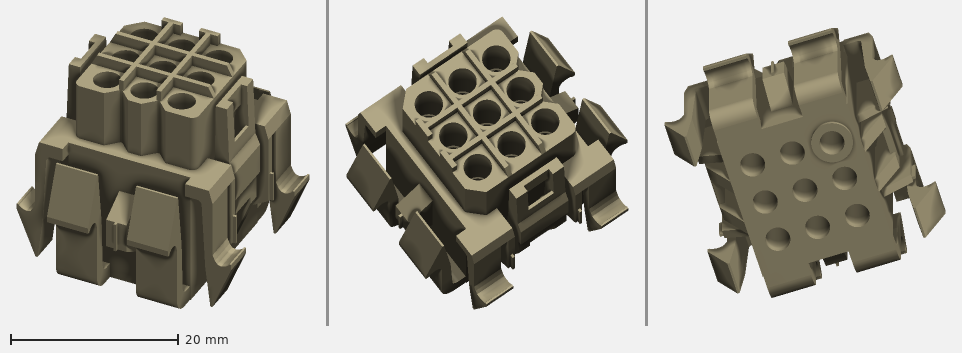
import cadquery as cq

BODY_HALF_X = 8.17
BODY_HALF_Y = 9.0
BODY_TOP = 17.88

BLOCK_BACK_Y = 7.85
BLOCK_FRONT_Y = -7.63
BLOCK_TOP = 25.5
BLOCK_CHAMFER = 1.82
BLOCK_FILLET = 0.95
NOTCH_DEPTH = 1.45
NOTCH_FLOOR_WIDTH = 0.3

CAVITY_PITCH = 4.98
CAVITY_POSITIONS = [-CAVITY_PITCH, 0, CAVITY_PITCH]
CAVITY_DIA = 2.98
CAVITY_MOUTH_DIA = 3.4
CAVITY_MOUTH_DEPTH = BLOCK_TOP - BODY_TOP
SLEEVE_DIA = 5.0
SLEEVE_HEIGHT = 0.55

RIB_WIDTH = 0.63
RIB_TOP = 26.97
RIB_END_SLOPE = 0.75
RIB_CAP_LENGTH = 2.53
RIB_CAP_WIDTH = 0.7
RIB_POSITIONS = [-CAVITY_PITCH / 2, CAVITY_PITCH / 2]

FLANGE_OUT = 11.83
FLANGE_TOP_OUT = 11.32
FLANGE_UNDERSIDE = 16.1
FLANGE_INNER_Y = 4.47
FLANGE_OUTER_Y = 10.5
SIDE_HOOK_WIDTH = 4.0
SIDE_HOOK_REACH = 14.3
SIDE_HOOK_CORNER = 0.6
SIDE_HOOK_INNER_TOP = 10.37
SIDE_HOOK_ELBOW = (10.85, 6.55)
SIDE_HOOK_TIP = 11.53
SIDE_HOOK_TIP_WIDTH = 0.27
SIDE_HOOK_TIP_Z = 1.05
SIDE_BARB_TOP = 8.0
SIDE_BARB_BOTTOM = 7.2
SIDE_BARB_LIP = 0.25
SIDE_ARM_OUTER_END = 8.65
SIDE_HOLLOW_BENDS = [(12.13, 7.93), (12.45, 7.48), (13.0, 7.33)]
SIDE_HOLLOW_MIDDLE = (13.47, 7.48)
SIDE_HOLLOW_END = (14.0, 7.85)
PANEL_THICKNESS = 0.98

FRONT_HOOK_OUT = 12.5
FRONT_HOOK_REACH = 14.9
FRONT_HOOK_INNER_X = 2.6
FRONT_HOOK_OUTER_X = 8.08
FRONT_HOOK_FOOT = 1.97
FRONT_HOOK_BEND = 1.97
FRONT_HOOK_FILLET = 1.0
FRONT_HOOK_INNER_FOOT = 10.97
FRONT_HOOK_ELBOW = (11.23, 9.35)
FRONT_HOOK_TIP = 12.2
FRONT_HOOK_TIP_WIDTH = 0.27
FRONT_HOOK_TIP_Z = 17.0
FRONT_BARB_TOP = 10.8
FRONT_BARB_BOTTOM = 10.0
FRONT_BARB_LIP = 0.35
FRONT_ARM_OUTER_END = 9.25
FRONT_HOLLOW_FLARE = (12.65, 9.83)
FRONT_HOLLOW_START = (12.87, 10.3)
FRONT_HOLLOW_MIDDLE = (13.68, 10.58)

STOP_OUT = 12.52
STOP_WIDTH = 2.7
STOP_TOP = 12.95
STOP_EDGE_TOP = 10.97
STOP_EDGE_BOTTOM = 7.1
STOP_ROOT_BOTTOM = 4.95
CRUSH_RIB_HEIGHT = 0.45
CRUSH_RIB_WIDTH = 0.33

LATCH_WIDTH = 7.03
LATCH_TOP = 25.05
LATCH_STEP = 11.8
LATCH_OUT = 11.75
LATCH_STEP_DEPTH = 0.45
LATCH_SHOULDER_BOTTOM = 15.8
LATCH_SHOULDER_TOP = (11.12, 17.28)
LATCH_TOP_OUT = 10.82
LATCH_TOP_BACK = 9.33
LATCH_BACK_BENDS = [(9.2, BODY_TOP), (8.88, 13.1), (8.58, 12.22)]
LATCH_RAMP_TOP = 8.05
LATCH_RAMP_BOTTOM = 0.42
RIGHT_LATCH_INSET = 0.55
WINDOW_WIDTH = 3.72
WINDOW_SILL = 19.28
WINDOW_BAR_BOTTOM = 22.2
WINDOW_BAR_FACE = 10.0
WINDOW_WALL_BACK = 10.65
LATCH_NOTCH_TOP = 9.03

EMBED = 0.3



def box(x_range, y_range, z_range):
    """Block spanning the given coordinate ranges."""
    ranges = (x_range, y_range, z_range)
    corner = tuple(start for start, end in ranges)
    size = [end - start for start, end in ranges]
    return cq.Workplane("XY", origin=corner).box(*size, centered=False)


def prism(outline, y_start, y_end):
    """Closed XZ outline extruded between two Y positions."""
    return outline.extrude(y_start - y_end).translate((0, y_start, 0))


def centered_prism(outline, width):
    """Closed XZ outline extruded evenly to both sides of Y = 0."""
    return prism(outline, -width / 2, width / 2)


def turned(part, angle):
    """Turn a part about the vertical axis; parts are drawn pointing along +X."""
    return part.rotate((0, 0, 0), (0, 0, 1), angle)


def contact_block():
    """Block with chamfered back corners, rounded front corners and V grooves."""
    block = box(
        (-BODY_HALF_X, BODY_HALF_X),
        (BLOCK_FRONT_Y, BLOCK_BACK_Y),
        (BODY_TOP - EMBED, BLOCK_TOP),
    )
    block = block.edges("|Z and >Y").chamfer(BLOCK_CHAMFER)
    block = block.edges("|Z and <Y").fillet(BLOCK_FILLET)
    half_floor = NOTCH_FLOOR_WIDTH / 2
    half_mouth = half_floor + NOTCH_DEPTH
    for x in RIB_POSITIONS:
        groove = (
            cq.Workplane("XY", origin=(x, BLOCK_FRONT_Y, BODY_TOP))
            .polyline([
                (-half_mouth, 0),
                (half_mouth, 0),
                (half_floor, NOTCH_DEPTH),
                (-half_floor, NOTCH_DEPTH),
            ])
            .close()
            .extrude(BLOCK_TOP - BODY_TOP)
        )
        block = block.cut(groove)
    return block


def add_ribs(part):
    """Crossing ribs on the block, with T caps along the back edge."""
    rib_z = (BLOCK_TOP - EMBED, RIB_TOP)
    for position in RIB_POSITIONS:
        sides = (position - RIB_WIDTH / 2, position + RIB_WIDTH / 2)
        part = part.union(box(sides, (BLOCK_FRONT_Y + NOTCH_DEPTH, BLOCK_BACK_Y), rib_z))
        part = part.union(box(
            (position - RIB_CAP_LENGTH / 2, position + RIB_CAP_LENGTH / 2),
            (BLOCK_BACK_Y - RIB_CAP_WIDTH, BLOCK_BACK_Y),
            rib_z,
        ))
        top_half_length = BODY_HALF_X - RIB_END_SLOPE
        outline = (
            cq.Workplane("XZ")
            .moveTo(-BODY_HALF_X, BLOCK_TOP)
            .lineTo(BODY_HALF_X, BLOCK_TOP)
            .lineTo(top_half_length, RIB_TOP)
            .lineTo(-top_half_length, RIB_TOP)
            .close()
        )
        part = part.union(prism(outline, *sides))
    return part


def add_cavities(part):
    """Sleeve below one cavity, then all nine stepped cavities."""
    sleeve = (
        cq.Workplane("XY", origin=(CAVITY_PITCH, -CAVITY_PITCH, -SLEEVE_HEIGHT))
        .circle(SLEEVE_DIA / 2)
        .extrude(SLEEVE_HEIGHT + EMBED)
    )
    centers = [(x, y) for x in CAVITY_POSITIONS for y in CAVITY_POSITIONS]
    return (
        part.union(sleeve)
        .copyWorkplane(cq.Workplane("XY", origin=(0, 0, BLOCK_TOP)))
        .pushPoints(centers)
        .cboreHole(CAVITY_DIA, CAVITY_MOUTH_DIA, CAVITY_MOUTH_DEPTH)
    )


def crush_rib(face, center_y):
    """Thin upright rib on the outer face of a stop."""
    return box(
        (face - EMBED, face + CRUSH_RIB_HEIGHT),
        (center_y - CRUSH_RIB_WIDTH / 2, center_y + CRUSH_RIB_WIDTH / 2),
        (STOP_EDGE_BOTTOM, STOP_EDGE_TOP),
    )


def front_stop():
    """Wedge in the middle of the front or back wall."""
    outline = (
        cq.Workplane("XZ")
        .moveTo(BODY_HALF_Y, STOP_ROOT_BOTTOM)
        .lineTo(STOP_OUT, STOP_EDGE_BOTTOM)
        .lineTo(STOP_OUT, STOP_EDGE_TOP)
        .lineTo(BODY_HALF_Y, STOP_TOP)
        .close()
    )
    return centered_prism(outline, STOP_WIDTH).union(crush_rib(STOP_OUT, 0))


def front_hook():
    """Upright snap arm with an arrow-shaped tip, bent up from the body foot."""
    outline = (
        cq.Workplane("XZ")
        .moveTo(BODY_HALF_Y - EMBED, 0)
        .lineTo(FRONT_HOOK_OUT - FRONT_HOOK_BEND, 0)
        .radiusArc((FRONT_HOOK_OUT, FRONT_HOOK_BEND), -FRONT_HOOK_BEND)
        .lineTo(FRONT_HOOK_OUT, FRONT_ARM_OUTER_END)
        .threePointArc(FRONT_HOLLOW_FLARE, FRONT_HOLLOW_START)
        .threePointArc(
            FRONT_HOLLOW_MIDDLE,
            (FRONT_HOOK_REACH - FRONT_BARB_LIP, FRONT_BARB_BOTTOM),
        )
        .lineTo(FRONT_HOOK_REACH, FRONT_BARB_BOTTOM)
        .lineTo(FRONT_HOOK_REACH, FRONT_BARB_TOP)
        .lineTo(FRONT_HOOK_TIP + FRONT_HOOK_TIP_WIDTH, FRONT_HOOK_TIP_Z)
        .lineTo(FRONT_HOOK_TIP, FRONT_HOOK_TIP_Z)
        .lineTo(*FRONT_HOOK_ELBOW)
        .lineTo(FRONT_HOOK_INNER_FOOT, FRONT_HOOK_FOOT + FRONT_HOOK_FILLET)
        .radiusArc(
            (FRONT_HOOK_INNER_FOOT - FRONT_HOOK_FILLET, FRONT_HOOK_FOOT),
            FRONT_HOOK_FILLET,
        )
        .lineTo(BODY_HALF_Y - EMBED, FRONT_HOOK_FOOT)
        .close()
    )
    return prism(outline, FRONT_HOOK_INNER_X, FRONT_HOOK_OUTER_X)


def side_hook():
    """Snap arm hanging from a side flange, ending in an arrow-shaped tip."""
    outline = (
        cq.Workplane("XZ")
        .moveTo(BODY_HALF_X, BODY_TOP)
        .lineTo(FLANGE_TOP_OUT, BODY_TOP)
        .lineTo(FLANGE_OUT, FLANGE_UNDERSIDE)
        .lineTo(FLANGE_OUT, SIDE_ARM_OUTER_END)
        .polyline(SIDE_HOLLOW_BENDS, includeCurrent=True)
        .threePointArc(SIDE_HOLLOW_MIDDLE, SIDE_HOLLOW_END)
        .lineTo(SIDE_HOOK_REACH - SIDE_BARB_LIP, SIDE_BARB_TOP)
        .lineTo(SIDE_HOOK_REACH, SIDE_BARB_TOP)
        .lineTo(SIDE_HOOK_REACH, SIDE_BARB_BOTTOM)
        .lineTo(SIDE_HOOK_TIP + SIDE_HOOK_TIP_WIDTH, SIDE_HOOK_TIP_Z)
        .lineTo(SIDE_HOOK_TIP, SIDE_HOOK_TIP_Z)
        .lineTo(*SIDE_HOOK_ELBOW)
        .lineTo(SIDE_HOOK_INNER_TOP, FLANGE_UNDERSIDE - SIDE_HOOK_CORNER)
        .radiusArc(
            (SIDE_HOOK_INNER_TOP - SIDE_HOOK_CORNER, FLANGE_UNDERSIDE),
            -SIDE_HOOK_CORNER,
        )
        .lineTo(BODY_HALF_X, FLANGE_UNDERSIDE)
        .close()
    )
    return prism(outline, FLANGE_OUTER_Y - SIDE_HOOK_WIDTH, FLANGE_OUTER_Y)


def side_flange():
    """Flange shelf and the guide panel along its inner edge."""
    shelf = (
        cq.Workplane("XZ")
        .moveTo(BODY_HALF_X - EMBED, FLANGE_UNDERSIDE)
        .lineTo(FLANGE_OUT, FLANGE_UNDERSIDE)
        .lineTo(FLANGE_TOP_OUT, BODY_TOP)
        .lineTo(BODY_HALF_X - EMBED, BODY_TOP)
        .close()
    )
    panel = (
        cq.Workplane("XZ")
        .moveTo(BODY_HALF_X, STOP_ROOT_BOTTOM)
        .lineTo(FLANGE_OUT, STOP_EDGE_BOTTOM)
        .lineTo(FLANGE_OUT, FLANGE_UNDERSIDE)
        .lineTo(BODY_HALF_X, FLANGE_UNDERSIDE)
        .close()
    )
    panel_outer_y = FLANGE_INNER_Y + PANEL_THICKNESS
    panel_middle_y = FLANGE_INNER_Y + PANEL_THICKNESS / 2
    return (
        prism(shelf, FLANGE_INNER_Y, BODY_HALF_Y)
        .union(prism(panel, FLANGE_INNER_Y, panel_outer_y))
        .union(crush_rib(FLANGE_OUT, panel_middle_y))
        .union(side_hook())
    )


def latch():
    """Upright latch plate with ramped foot, window and hollow middle."""
    foot_out = LATCH_OUT - LATCH_STEP_DEPTH
    outline = (
        cq.Workplane("XZ")
        .moveTo(BODY_HALF_X - EMBED, LATCH_RAMP_BOTTOM)
        .lineTo(BODY_HALF_X, LATCH_RAMP_BOTTOM)
        .lineTo(foot_out, LATCH_RAMP_TOP)
        .lineTo(foot_out, LATCH_STEP)
        .lineTo(LATCH_OUT, LATCH_STEP)
        .lineTo(LATCH_OUT, LATCH_SHOULDER_BOTTOM)
        .lineTo(*LATCH_SHOULDER_TOP)
        .lineTo(LATCH_TOP_OUT, LATCH_TOP)
        .lineTo(LATCH_TOP_BACK, LATCH_TOP)
        .polyline(LATCH_BACK_BENDS, includeCurrent=True)
        .lineTo(BODY_HALF_X, LATCH_STEP)
        .lineTo(BODY_HALF_X - EMBED, LATCH_STEP)
        .close()
    )
    plate = centered_prism(outline, LATCH_WIDTH)
    middle = (-WINDOW_WIDTH / 2, WINDOW_WIDTH / 2)
    front = (WINDOW_WALL_BACK, LATCH_OUT)
    back_void = box((BODY_HALF_X, WINDOW_BAR_FACE), middle, (0, WINDOW_BAR_BOTTOM))
    slot = box((WINDOW_BAR_FACE, WINDOW_WALL_BACK), middle, (0, LATCH_TOP))
    window = box(front, middle, (WINDOW_SILL, LATCH_TOP))
    foot_notch = box(front, middle, (0, LATCH_NOTCH_TOP))
    return plate.cut(back_void).cut(slot).cut(window).cut(foot_notch)


def mirrored_pair(part):
    """Part joined with its mirror image across Y = 0."""
    return part.union(part.mirror("XZ"))


result = box((-BODY_HALF_X, BODY_HALF_X), (-BODY_HALF_Y, BODY_HALF_Y), (0, BODY_TOP))
result = result.union(contact_block())
result = add_ribs(result)

front_features = mirrored_pair(front_hook()).union(front_stop())
for angle in (90, -90):
    result = result.union(turned(front_features, angle))

side_flanges = mirrored_pair(side_flange())
for angle in (0, 180):
    result = result.union(turned(side_flanges, angle))

result = result.union(turned(latch(), 180))
result = result.union(latch().translate((-RIGHT_LATCH_INSET, 0, 0)))
result = add_cavities(result)